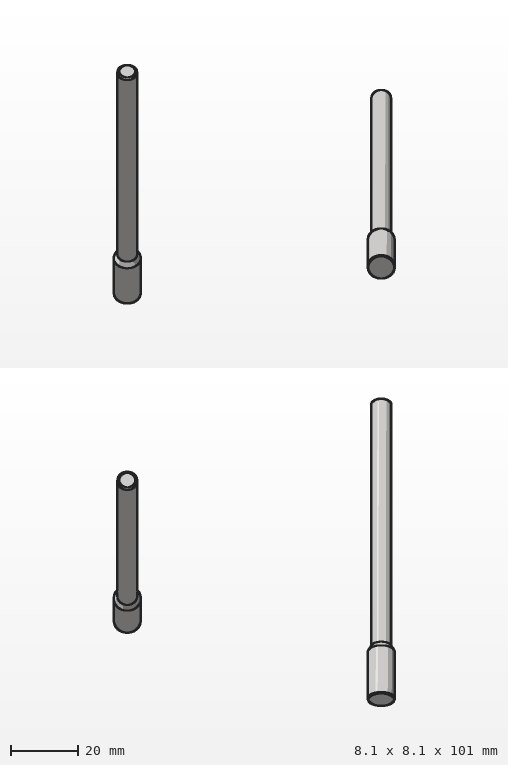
import cadquery as cq

total_length = 101.0
head_diameter = 8.1
shank_diameter = 6.0

cutting_length = 16.3
shank_start = 18.1

tip_chamfer_width = 0.2
tip_chamfer_height = 0.4
shank_chamfer_width = 0.6
shank_chamfer_height = 0.5

head_radius = head_diameter / 2
tip_radius = head_radius - tip_chamfer_width
shank_radius = shank_diameter / 2


def make_cutting_head():
    """Cylindrical head with a short tapered tip at its free end."""
    profile = (
        cq.Workplane("XZ")
        .lineTo(tip_radius, 0)
        .lineTo(head_radius, tip_chamfer_height)
        .lineTo(head_radius, cutting_length)
        .lineTo(0, cutting_length)
        .close()
    )
    return profile.revolve(360, (0, 0, 0), (0, 1, 0))


def make_shank():
    """Slim chamfered shank that flares at its foot to the head's diameter."""
    profile = (
        cq.Workplane("XZ")
        .moveTo(0, cutting_length)
        .lineTo(head_radius, cutting_length)
        .lineTo(shank_radius, shank_start)
        .lineTo(shank_radius, total_length - shank_chamfer_height)
        .lineTo(shank_radius - shank_chamfer_width, total_length)
        .lineTo(0, total_length)
        .close()
    )
    return profile.revolve(360, (0, 0, 0), (0, 1, 0))


cutting_head = make_cutting_head()
shank = make_shank()

result = cq.Compound.makeCompound([cutting_head.val(), shank.val()])